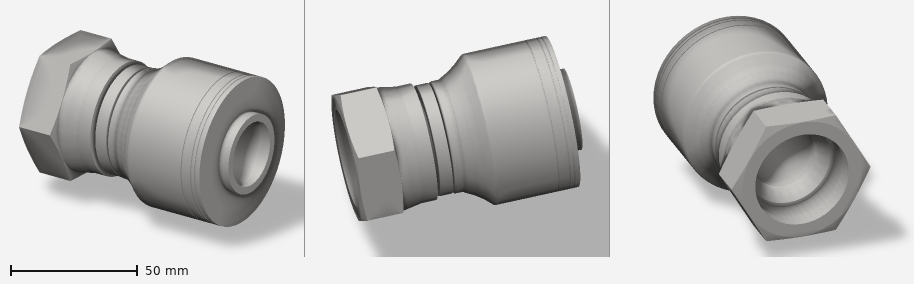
import cadquery as cq
import math

total_length = 91.8

hex_across_flats = 50.7
hex_length = 16.8
hex_chamfer_radius = 25.1
hex_chamfer_depth = 1.1
nut_taper_end = 25.0
nut_length = 31.1
nut_rear_radius = 23.6
nut_bore_radius = 19.65
nut_shoulder = nut_taper_end

head_face = 15.9
head_clearance = 0.2
head_radius = nut_bore_radius - head_clearance
neck_radius = 17.1
stem_bore_radius = 13.3
seat_mouth_radius = 17.7
seat_half_angle = 35.0
collar_start = 32.7
collar_end = 37.7
collar_radius = 22.4
collar_taper_radius = 17.9
tail_radius = 16.4

shell_start = 38.5
shell_end = 87.4
shell_neck_radius = 22.7
shell_radius = 30.6
neck_rounding = 0.9
neck_end = 41.8
flare_start = (43.2, 23.2)
flare_middle = (48.3, 26.1)
flare_end = (53.0, 30.0)
flare_blend_end = 54.35
groove_centers = (78.8, 83.4, 85.2)
groove_width = 0.55
groove_depth = 0.3

hex_corner_radius = hex_across_flats / math.sqrt(3)


def revolve_about_x(profile):
    """Turn a closed (X, radius) profile about the X axis."""
    return profile.close().revolve(360, (0, 0, 0), (1, 0, 0))


def cylinder_along_x(start, end, radius):
    return cq.Workplane("YZ", origin=(start, 0, 0)).circle(radius).extrude(end - start)


def make_nut():
    hexagon = (
        cq.Workplane("YZ")
        .polygon(6, 2 * hex_corner_radius)
        .extrude(hex_length)
    )
    chamfer_envelope = revolve_about_x(
        cq.Workplane("XY")
        .moveTo(0, 0)
        .lineTo(0, hex_chamfer_radius)
        .lineTo(hex_chamfer_depth, hex_corner_radius)
        .lineTo(hex_length - hex_chamfer_depth, hex_corner_radius)
        .lineTo(hex_length, hex_chamfer_radius)
        .lineTo(hex_length, 0)
    )
    sleeve = revolve_about_x(
        cq.Workplane("XY")
        .moveTo(hex_length, 0)
        .lineTo(hex_length, hex_chamfer_radius)
        .lineTo(nut_taper_end, nut_rear_radius)
        .lineTo(nut_length, nut_rear_radius)
        .lineTo(nut_length, 0)
    )
    front_bore = cylinder_along_x(0, nut_shoulder, nut_bore_radius)
    neck_bore = cylinder_along_x(0, nut_length, neck_radius)
    return hexagon.intersect(chamfer_envelope).union(sleeve).cut(front_bore).cut(neck_bore)


def make_stem():
    seat_depth = (seat_mouth_radius - stem_bore_radius) / math.tan(math.radians(seat_half_angle))
    return revolve_about_x(
        cq.Workplane("XY")
        .moveTo(head_face, seat_mouth_radius)
        .lineTo(head_face, head_radius)
        .lineTo(nut_shoulder, head_radius)
        .lineTo(nut_shoulder, neck_radius)
        .lineTo(collar_start, neck_radius)
        .lineTo(collar_start, collar_radius)
        .lineTo(collar_end, collar_radius)
        .lineTo(shell_start, collar_taper_radius)
        .lineTo(shell_start, tail_radius)
        .lineTo(total_length, tail_radius)
        .lineTo(total_length, stem_bore_radius)
        .lineTo(head_face + seat_depth, stem_bore_radius)
    )


def make_shell():
    shell = revolve_about_x(
        cq.Workplane("XY")
        .moveTo(shell_start, tail_radius)
        .lineTo(shell_start, shell_neck_radius - neck_rounding)
        .radiusArc((shell_start + neck_rounding, shell_neck_radius), neck_rounding)
        .lineTo(neck_end, shell_neck_radius)
        .tangentArcPoint(flare_start, relative=False)
        .threePointArc(flare_middle, flare_end)
        .spline(
            [(flare_blend_end, shell_radius)],
            tangents=[(1, 1), (1, 0)],
            includeCurrent=True,
        )
        .lineTo(shell_end, shell_radius)
        .lineTo(shell_end, tail_radius)
    )
    for center in groove_centers:
        start = center - groove_width / 2
        end = center + groove_width / 2
        groove = cylinder_along_x(start, end, shell_radius + groove_depth).cut(
            cylinder_along_x(start, end, shell_radius - groove_depth)
        )
        shell = shell.cut(groove)
    return shell


nut = make_nut()
stem = make_stem()
shell = make_shell()

result = cq.Compound.makeCompound([nut.solids().val(), stem.solids().val(), shell.solids().val()])